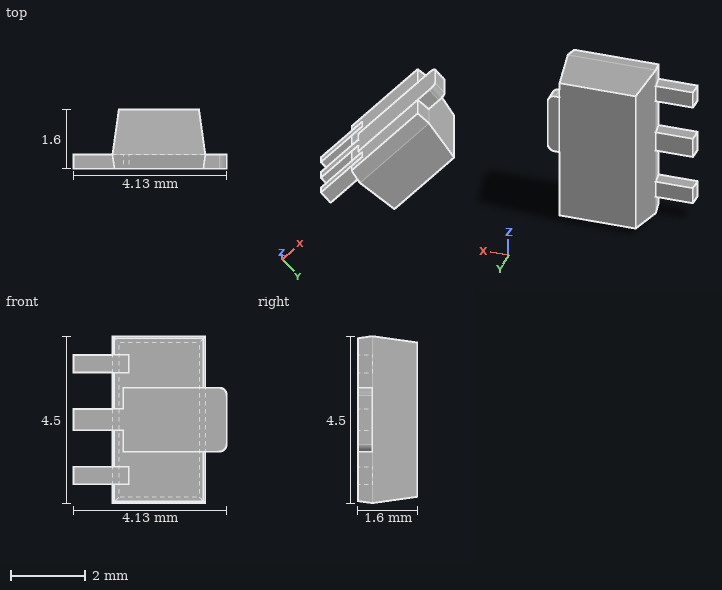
import cadquery as cq
import math


housing_height = 4.5
housing_width = 2.5
total_depth = 1.6
draft_angle = 8.0

sheet_thickness = 0.39
overall_length = 4.13
lead_tip_x = -2.305
lead_pitch = 1.505

outer_lead_length = 1.49
outer_lead_width = 0.475

tab_lead_width = 0.575
tab_start_x = -0.955
tab_end_x = lead_tip_x + overall_length
tab_width = 1.73
tab_corner_radius = 0.205


def drafted_half(depth):
    """One half of the housing, narrowing from the parting line over a signed Y depth."""
    inset = abs(depth) * math.tan(math.radians(draft_angle))
    return (
        cq.Workplane("XZ", origin=(0, sheet_thickness, 0))
        .rect(housing_width, housing_height)
        .workplane(offset=-depth)
        .rect(housing_width - 2 * inset, housing_height - 2 * inset)
        .loft(ruled=True)
    )


def sheet_bar(start_x, end_x, width, center_z):
    """A rectangular piece of the sheet, lying on the seating face."""
    return cq.Workplane("XY").box(
        end_x - start_x, sheet_thickness, width, centered=(False, False, True)
    ).translate((start_x, 0, center_z))


def make_outer_lead(center_z):
    return sheet_bar(lead_tip_x, lead_tip_x + outer_lead_length, outer_lead_width, center_z)


def make_tab_lead():
    tab = sheet_bar(tab_start_x, tab_end_x, tab_width, 0)
    tab = tab.edges("|Y and >X").fillet(tab_corner_radius)
    return tab.union(sheet_bar(lead_tip_x, tab_start_x, tab_lead_width, 0))


def make_housing(metal_parts):
    """The moulded housing, with a matching recess for each metal part."""
    housing = drafted_half(-sheet_thickness).union(drafted_half(total_depth - sheet_thickness))
    for metal_part in metal_parts:
        housing = housing.cut(metal_part)
    return housing


outer_leads = [make_outer_lead(side * lead_pitch) for side in (-1, 1)]
tab_lead = make_tab_lead()
housing = make_housing([*outer_leads, tab_lead])

result = cq.Compound.makeCompound(
    [housing.solids().val(), tab_lead.solids().val(), *[lead.solids().val() for lead in outer_leads]]
)